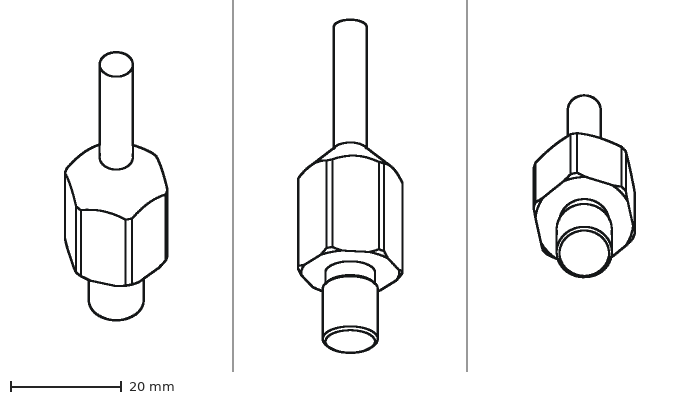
import cadquery as cq

total_height = 64.0
pin_diameter = 6.0
pin_length = 25.0

hex_across_flats = 17.0
corner_diameter = 19.0
hex_base_height = 14.0
base_chamfer_radial = 0.65
base_chamfer_height = 0.65

spigot_diameter = 10.0
spigot_height = 11.2
spigot_chamfer = 0.5
neck_diameter = 9.0
neck_taper = (spigot_diameter - neck_diameter) / 2

pin_radius = pin_diameter / 2
corner_radius = corner_diameter / 2
spigot_radius = spigot_diameter / 2
neck_radius = neck_diameter / 2
pin_base_height = total_height - pin_length
cone_base_height = pin_base_height - (corner_radius - pin_radius)


def turned_body():
    """Complete round profile, before the flats are cut."""
    profile = [
        (0, 0),
        (spigot_radius - spigot_chamfer, 0),
        (spigot_radius, spigot_chamfer),
        (spigot_radius, spigot_height - neck_taper),
        (neck_radius, spigot_height),
        (neck_radius, hex_base_height),
        (corner_radius - base_chamfer_radial, hex_base_height),
        (corner_radius, hex_base_height + base_chamfer_height),
        (corner_radius, cone_base_height),
        (pin_radius, pin_base_height),
        (pin_radius, total_height),
        (0, total_height),
    ]
    return cq.Workplane("XZ").polyline(profile).close().revolve(360, (0, 0, 0), (0, 1, 0))


def hexagonal_envelope():
    """Full-height hexagonal prism with corners on X and flats facing Y."""
    prism = cq.Workplane("XY").polygon(6, hex_across_flats, circumscribed=True).extrude(total_height)
    return prism.rotate((0, 0, 0), (0, 0, 1), 30)


result = turned_body().intersect(hexagonal_envelope())